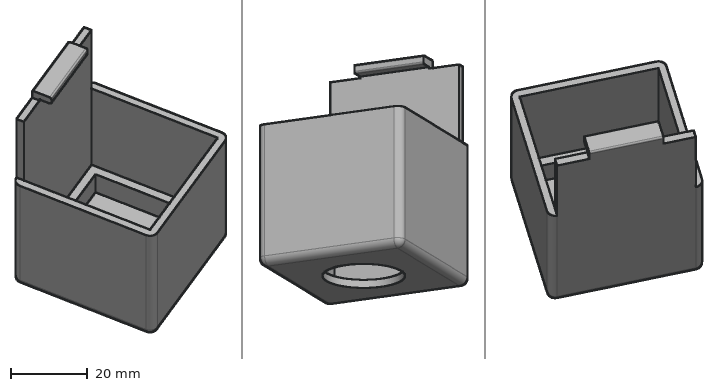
import cadquery as cq

side = 41.8
total_height = 63.1
box_height = 38.1
wall = 2.2
corner_radius = wall
cavity_side = side - 2 * wall

floor_thickness = 2.2
ledge_width = 2.5
ledge_height = 6.9
recess_side = cavity_side - 2 * ledge_width
hole_diameter = 21.5

panel_top = 60.4
tab_width = 20.0
tab_reach = 5.7
tab_thickness = 2.35
tab_edge_radius = 0.5

outer_face = -side / 2


def make_box():
    """Open-topped box with rounded vertical and bottom edges."""
    box = cq.Workplane("XY").box(side, side, box_height, centered=(True, True, False))
    box = box.edges("|Z or <Z").fillet(corner_radius)
    ledge_top = floor_thickness + ledge_height
    cavity = (
        cq.Workplane("XY", origin=(0, 0, ledge_top))
        .rect(cavity_side, cavity_side)
        .extrude(box_height - ledge_top)
    )
    recess = (
        cq.Workplane("XY", origin=(0, 0, floor_thickness))
        .rect(recess_side, recess_side)
        .extrude(ledge_height)
    )
    hole = cq.Workplane("XY").circle(hole_diameter / 2).extrude(floor_thickness)
    return box.cut(cavity).cut(recess).cut(hole)


def make_panel():
    """Extension of the -X wall above the box rim."""
    return cq.Workplane("XY", origin=(outer_face + wall / 2, 0, box_height)).box(
        wall, cavity_side, panel_top - box_height, centered=(True, True, False)
    )


def make_tab():
    """Hook that rises from the panel and reaches in over the box."""
    stem = cq.Workplane("XY", origin=(outer_face + wall / 2, 0, panel_top)).box(
        wall, tab_width, total_height - panel_top, centered=(True, True, False)
    )
    hook_bottom = total_height - tab_thickness
    hook = cq.Workplane("XY", origin=(outer_face + tab_reach / 2, 0, hook_bottom)).box(
        tab_reach, tab_width, tab_thickness, centered=(True, True, False)
    )
    tab = stem.union(hook)
    return tab.edges("|Y and (>Z or >X)").fillet(tab_edge_radius)


result = make_box().union(make_panel()).union(make_tab())